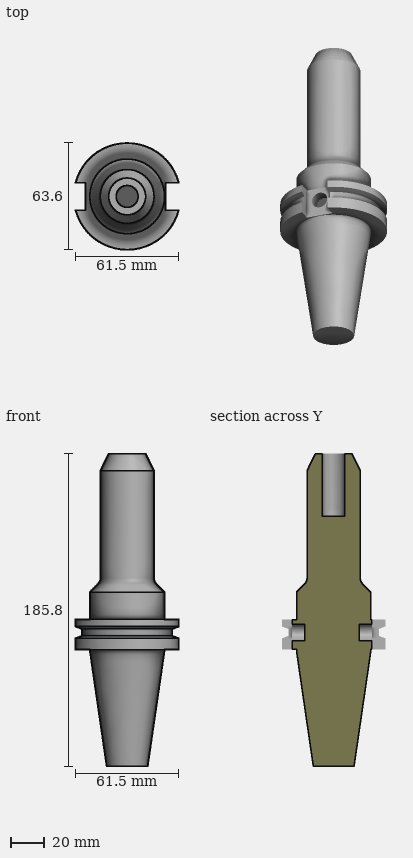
import cadquery as cq
import math

total_height = 185.8
shank_height = 68.4
shank_radius = 22.2
taper_ratio = 7 / 24
shank_end_radius = shank_radius - shank_height * taper_ratio / 2

flange_radius = 31.8
flange_bottom = 69.3
flange_top = 87.3
groove_floor_radius = 28.0
groove_center = 79.5
groove_floor_width = 4.0
groove_mouth_width = 7.0

shoulder_radius = shank_radius
shoulder_top = 103.5
nose_radius = 16.0
blend_radius = 5.0
shoulder_angle = math.radians(45)

tip_radius = 11.0
tip_cone_height = 10.2
bore_radius = 6.5
bore_depth = 37.2

slot_width = 16.2
slot_floor_left = 24.9
slot_floor_right = 22.9
side_hole_radius = 4.8
side_hole_depth = 7.5


def blend_point(angle):
    """Point on the concave blend, at an angle measured from its tangent with the nose."""
    drop = shoulder_radius - nose_radius - blend_radius * (1 - math.cos(shoulder_angle))
    blend_start = shoulder_top + drop * math.tan(shoulder_angle)
    blend_top = blend_start + blend_radius * math.sin(shoulder_angle)
    radius = nose_radius + blend_radius * (1 - math.cos(angle))
    return radius, blend_top - blend_radius * math.sin(angle)


def turned_body():
    half_floor = groove_floor_width / 2
    half_mouth = groove_mouth_width / 2
    return (
        cq.Workplane("XZ")
        .moveTo(0, 0)
        .lineTo(shank_end_radius, 0)
        .lineTo(shank_radius, shank_height)
        .lineTo(shank_radius, flange_bottom)
        .lineTo(flange_radius, flange_bottom)
        .lineTo(flange_radius, groove_center - half_mouth)
        .lineTo(groove_floor_radius, groove_center - half_floor)
        .lineTo(groove_floor_radius, groove_center + half_floor)
        .lineTo(flange_radius, groove_center + half_mouth)
        .lineTo(flange_radius, flange_top)
        .lineTo(shoulder_radius, flange_top)
        .lineTo(shoulder_radius, shoulder_top)
        .lineTo(*blend_point(shoulder_angle))
        .threePointArc(blend_point(shoulder_angle / 2), blend_point(0))
        .lineTo(nose_radius, total_height - tip_cone_height)
        .lineTo(tip_radius, total_height)
        .lineTo(0, total_height)
        .close()
        .revolve(360, (0, 0, 0), (0, 1, 0))
    )


def drive_slot(side, floor):
    """Slot across the flange and the hole in its floor; side is -1 or +1 along X."""
    slot_depth = flange_radius - floor
    slot = cq.Workplane("XY").box(slot_depth, slot_width, flange_top - flange_bottom)
    slot = slot.translate((
        side * (floor + slot_depth / 2),
        0,
        (flange_top + flange_bottom) / 2,
    ))
    hole = cq.Solid.makeCylinder(
        side_hole_radius,
        side_hole_depth,
        cq.Vector(side * floor, 0, groove_center),
        cq.Vector(-side, 0, 0),
    )
    return slot.union(cq.Workplane(obj=hole))


def nose_bore():
    return (
        cq.Workplane("XY", origin=(0, 0, total_height - bore_depth))
        .circle(bore_radius)
        .extrude(bore_depth)
    )


result = (
    turned_body()
    .cut(drive_slot(-1, slot_floor_left))
    .cut(drive_slot(1, slot_floor_right))
    .cut(nose_bore())
)